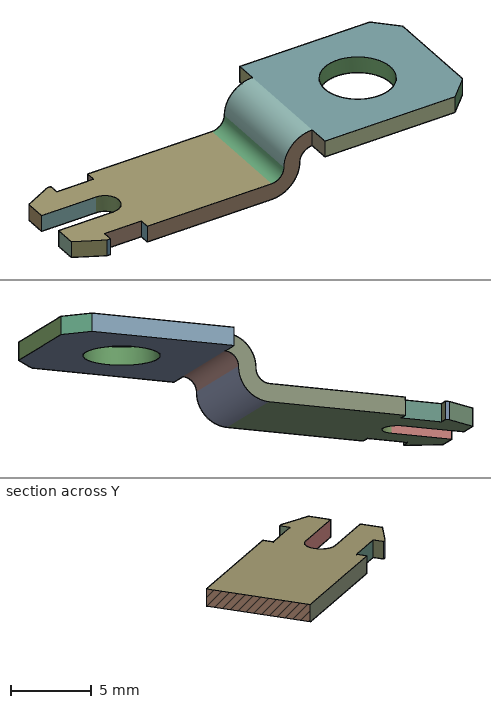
import cadquery as cq

length = 28.0
plate_width = 10.0
strip_width = 7.0
thickness = 1.18
height = 4.15

plate_length = 11.0
corner_chamfer = 1.48
hole_diameter = 4.8
hole_from_end = 5.5

bend_drop = height - thickness
inner_radius = (bend_drop - thickness) / 2
outer_radius = inner_radius + thickness

slot_width = 2.0
slot_length = 5.0
notch_depth = 0.7
notch_start = 4.93
barb_length = 2.25
taper_length = 2.0
taper_inset = 1.0

tip_y = -length / 2
plate_end_y = length / 2
plate_start_y = plate_end_y - plate_length
bend_end_y = plate_start_y - bend_drop


def make_plate():
    """Raised plate, clipped at its two far corners."""
    plate = (
        cq.Workplane("XY", origin=(0, 0, bend_drop))
        .center(0, plate_start_y + plate_length / 2)
        .rect(plate_width, plate_length)
        .extrude(thickness)
    )
    return plate.edges("|Z and >Y").chamfer(corner_chamfer)


def make_ring_quarter(center_y, center_z, y_side, z_side):
    """Quarter of a bend ring, on the given Y and Z sides of its axis."""
    ring = (
        cq.Workplane("YZ", origin=(-strip_width / 2, center_y, center_z))
        .circle(outer_radius)
        .circle(inner_radius)
        .extrude(strip_width)
    )
    quadrant = cq.Workplane("XY").box(strip_width, outer_radius, outer_radius).translate(
        (0, center_y + y_side * outer_radius / 2, center_z + z_side * outer_radius / 2)
    )
    return ring.intersect(quadrant)


def make_step():
    """S-shaped step joining the plate to the lower strip."""
    upper_bend = make_ring_quarter(plate_start_y, height - outer_radius, -1, 1)
    lower_bend = make_ring_quarter(bend_end_y, outer_radius, 1, -1)
    return upper_bend.union(lower_bend)


def make_strip():
    """Lower strip with side notches and tapered barbs at the tip."""
    half_width = strip_width / 2
    neck_half_width = half_width - notch_depth
    right_side = [
        (half_width, bend_end_y),
        (half_width, tip_y + notch_start),
        (neck_half_width, tip_y + notch_start),
        (neck_half_width, tip_y + barb_length),
        (half_width, tip_y + barb_length),
        (half_width, tip_y + taper_length),
        (half_width - taper_inset, tip_y),
    ]
    left_side = [(-x, y) for x, y in reversed(right_side)]
    return cq.Workplane("XY").polyline(right_side + left_side).close().extrude(thickness)


def make_slot():
    """Round-ended slot, open at the tip."""
    half_width = slot_width / 2
    arc_start_y = tip_y + slot_length - half_width
    return (
        cq.Workplane("XY")
        .moveTo(-half_width, tip_y)
        .lineTo(-half_width, arc_start_y)
        .threePointArc((0, tip_y + slot_length), (half_width, arc_start_y))
        .lineTo(half_width, tip_y)
        .close()
        .extrude(thickness)
    )


def make_hole():
    """Through hole in the raised plate."""
    return (
        cq.Workplane("XY", origin=(0, plate_end_y - hole_from_end, bend_drop))
        .circle(hole_diameter / 2)
        .extrude(thickness)
    )


body = make_plate().union(make_step()).union(make_strip())
result = body.cut(make_slot()).cut(make_hole())